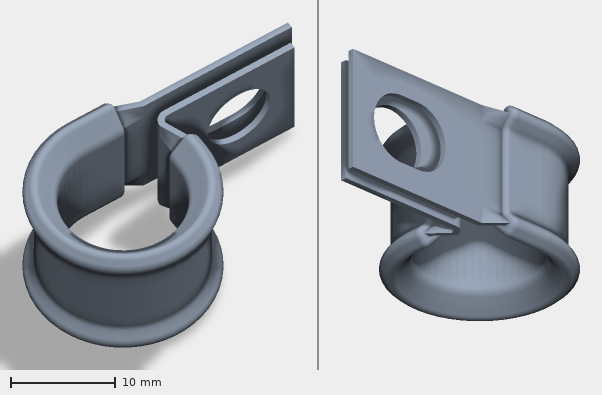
import cadquery as cq
import math


outer_radius = 9.65
half_height = 7.05
wall_outer_radius = 8.53
wall_inner_radius = 6.33
outer_corner_height = 4.43
inner_corner_height = 5.1
outer_wall_blend = 0.6
inner_wall_blend = 1.15
crest_round = 0.65
tip_round = 0.8

long_end_length = 4.65
short_end_length = 1.83
end_round = 0.55

strap_inner_radius = 7.15
strap_thickness = 0.68
strap_outer_radius = strap_inner_radius + strap_thickness
strap_half_width = 6.35
fold_height = 4.55
fold_out = 1.25
fold_up = 1.42
transition_length = 2.5
strap_embed = 1.0

overall_length = 33.83
front_leg_top = overall_length - outer_radius
back_leg_top = 23.07
bend_inner_radius = 0.65
bend_outer_radius = bend_inner_radius + strap_thickness

hole_center_y = 16.68
hole_diameter = 7.15
slot_length = 9.47
slot_width = 7.25

COS45 = math.sqrt(0.5)
TAN22 = math.tan(math.radians(22.5))


def on_round(center_r, center_z, radius, degrees):
    """Point on a round of the cross-section, at an angle from the outward direction."""
    angle = math.radians(degrees)
    return (center_r + radius * math.cos(angle), center_z + radius * math.sin(angle))


def lip_half_profile():
    """Upper half of the cushion cross-section on the YZ plane, with Y as the radius."""
    tip_r = outer_radius - tip_round
    tip_z = outer_corner_height + tip_r - wall_outer_radius + tip_round / COS45
    crest_z = half_height - crest_round
    crest_r = wall_inner_radius + crest_z - inner_corner_height + crest_round / COS45

    outer_blend_r = wall_outer_radius + outer_wall_blend
    outer_blend_z = outer_corner_height - outer_wall_blend * TAN22
    inner_blend_r = wall_inner_radius + inner_wall_blend
    inner_blend_z = inner_corner_height - inner_wall_blend * TAN22

    return (
        cq.Workplane("YZ")
        .moveTo(wall_inner_radius, 0)
        .lineTo(wall_outer_radius, 0)
        .lineTo(wall_outer_radius, outer_blend_z)
        .threePointArc(
            on_round(outer_blend_r, outer_blend_z, outer_wall_blend, 157.5),
            on_round(outer_blend_r, outer_blend_z, outer_wall_blend, 135),
        )
        .lineTo(*on_round(tip_r, tip_z, tip_round, -45))
        .threePointArc((outer_radius, tip_z), on_round(tip_r, tip_z, tip_round, 45))
        .lineTo(*on_round(crest_r, crest_z, crest_round, 45))
        .threePointArc((crest_r, half_height), on_round(crest_r, crest_z, crest_round, 135))
        .lineTo(*on_round(inner_blend_r, inner_blend_z, inner_wall_blend, 135))
        .threePointArc(
            on_round(inner_blend_r, inner_blend_z, inner_wall_blend, 157.5),
            (wall_inner_radius, inner_blend_z),
        )
        .close()
    )


def with_lower_half(upper_half):
    """Add the mirror image below Z = 0."""
    return upper_half.union(upper_half.mirror("XY")).clean()


def cushion_loop():
    """Three quarters of a turn, from the +Y side clockwise round to the -X side."""
    return with_lower_half(lip_half_profile().revolve(270, (0, 0, 0), (0, -1, 0)))


def cushion_end(length):
    """Straight cushion end running to -X from the +Y side of the loop, with a rounded end face."""
    straight = with_lower_half(lip_half_profile().extrude(-length))
    return straight.faces("<X").edges().fillet(end_round)


def folded_edge(length):
    """Upper edge of the strap: folded outwards inside the cushion, flat further out."""
    folded = [
        (strap_inner_radius, fold_height),
        (strap_outer_radius, fold_height),
        (strap_outer_radius + fold_out, fold_height + fold_up),
        (strap_inner_radius + fold_out, fold_height + fold_up),
    ]
    flat = [
        (strap_inner_radius, fold_height),
        (strap_outer_radius, fold_height),
        (strap_outer_radius, strap_half_width),
        (strap_inner_radius, strap_half_width),
    ]
    cushion_face = cq.Workplane("YZ", origin=(-length, 0, 0))
    buried = cushion_face.polyline(folded).close().extrude(strap_embed)
    transition = (
        cushion_face.polyline(folded)
        .close()
        .workplane(offset=-transition_length)
        .polyline(flat)
        .close()
        .loft(ruled=True)
    )
    return buried.union(transition)


def strap_root(length):
    """Strap leaving the cushion end: flat middle band with two folded edges."""
    band = cq.Workplane("XY").box(
        transition_length + strap_embed,
        strap_thickness,
        2 * fold_height,
        centered=(False, False, True),
    ).translate((-length - transition_length, strap_inner_radius, 0))
    edge = folded_edge(length)
    return band.union(edge).union(edge.mirror("XY"))


def turned_to_front(body):
    """Move a body from the +Y side of the loop, running to -X, to the -X side, running to +Y."""
    return body.mirror("YZ").rotate((0, 0, 0), (0, 0, 1), 90)


def front_leg():
    """Flat leg on the -X side, with a slot along Y."""
    start = long_end_length + transition_length
    leg = cq.Workplane("XY").box(
        strap_thickness,
        front_leg_top - start,
        2 * strap_half_width,
        centered=(False, False, True),
    ).translate((-strap_outer_radius, start, 0))
    slot = (
        cq.Workplane("YZ", origin=(-strap_outer_radius, hole_center_y, 0))
        .slot2D(slot_length, slot_width)
        .extrude(strap_thickness)
    )
    return leg.cut(slot)


def back_leg():
    """Leg that bends from -X to +Y, with a round hole."""
    bend_x = -short_end_length - transition_length
    bend_y = strap_inner_radius + bend_outer_radius
    outer_x = bend_x - bend_outer_radius
    inner_x = bend_x - bend_inner_radius
    leg = (
        cq.Workplane("XY", origin=(0, 0, -strap_half_width))
        .moveTo(bend_x, strap_inner_radius)
        .threePointArc(
            (bend_x - bend_outer_radius * COS45, bend_y - bend_outer_radius * COS45),
            (outer_x, bend_y),
        )
        .lineTo(outer_x, back_leg_top)
        .lineTo(inner_x, back_leg_top)
        .lineTo(inner_x, bend_y)
        .threePointArc(
            (bend_x - bend_inner_radius * COS45, bend_y - bend_inner_radius * COS45),
            (bend_x, strap_outer_radius),
        )
        .close()
        .extrude(2 * strap_half_width)
    )
    hole = (
        cq.Workplane("YZ", origin=(outer_x, hole_center_y, 0))
        .circle(hole_diameter / 2)
        .extrude(strap_thickness)
    )
    return leg.cut(hole)


result = (
    cushion_loop()
    .union(cushion_end(short_end_length))
    .union(turned_to_front(cushion_end(long_end_length)))
    .union(strap_root(short_end_length))
    .union(turned_to_front(strap_root(long_end_length)))
    .union(front_leg())
    .union(back_leg())
)